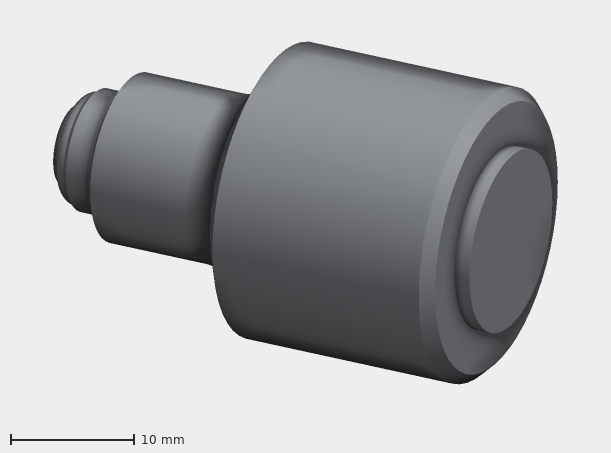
import cadquery as cq
import math

length = 39.62
body_radius = 24.6 / 2
neck_radius = 14.15 / 2
pilot_radius = 10.25 / 2
end_boss_radius = 15.25 / 2

tip_radius = 3.75
tip_chamfer = 0.4
ring_section_radius = 1.0
ring_center_x = 1.6
shoulder_x = 1.65
pilot_chamfer = 0.35

neck_start_x = 4.55
neck_chamfer_length = 0.6
neck_chamfer_depth = neck_chamfer_length * math.tan(math.radians(60))

blend_start_x = 13.9
blend_radius = 3.13
cone_angle = math.radians(60)

body_end_x = 38.3
body_chamfer = 1.0

ring_start_x = ring_center_x - ring_section_radius
ring_mid_offset = ring_section_radius * math.sqrt(0.5)
ring_end_radius = tip_radius + math.sqrt(ring_section_radius**2 - (shoulder_x - ring_center_x) ** 2)


def blend_point(angle):
    """Point on the neck blend where its slope has the given angle."""
    x = blend_start_x + blend_radius * math.sin(angle)
    radius = neck_radius + blend_radius * (1 - math.cos(angle))
    return x, radius


cone_start_x, cone_start_radius = blend_point(cone_angle)
cone_end_x = cone_start_x + (body_radius - cone_start_radius) / math.tan(cone_angle)

profile = (
    cq.Workplane("XY")
    .moveTo(0, 0)
    .lineTo(0, tip_radius - tip_chamfer)
    .lineTo(tip_chamfer, tip_radius)
    .lineTo(ring_start_x, tip_radius)
    .threePointArc(
        (ring_center_x - ring_mid_offset, tip_radius + ring_mid_offset),
        (shoulder_x, ring_end_radius),
    )
    .lineTo(shoulder_x, pilot_radius - pilot_chamfer)
    .lineTo(shoulder_x + pilot_chamfer, pilot_radius)
    .lineTo(neck_start_x, pilot_radius)
    .lineTo(neck_start_x, neck_radius - neck_chamfer_depth)
    .lineTo(neck_start_x + neck_chamfer_length, neck_radius)
    .lineTo(blend_start_x, neck_radius)
    .threePointArc(blend_point(cone_angle / 2), (cone_start_x, cone_start_radius))
    .lineTo(cone_end_x, body_radius)
    .lineTo(body_end_x - body_chamfer, body_radius)
    .lineTo(body_end_x, body_radius - body_chamfer)
    .lineTo(body_end_x, end_boss_radius)
    .lineTo(length, end_boss_radius)
    .lineTo(length, 0)
    .close()
)

result = profile.revolve(360, (0, 0, 0), (1, 0, 0))